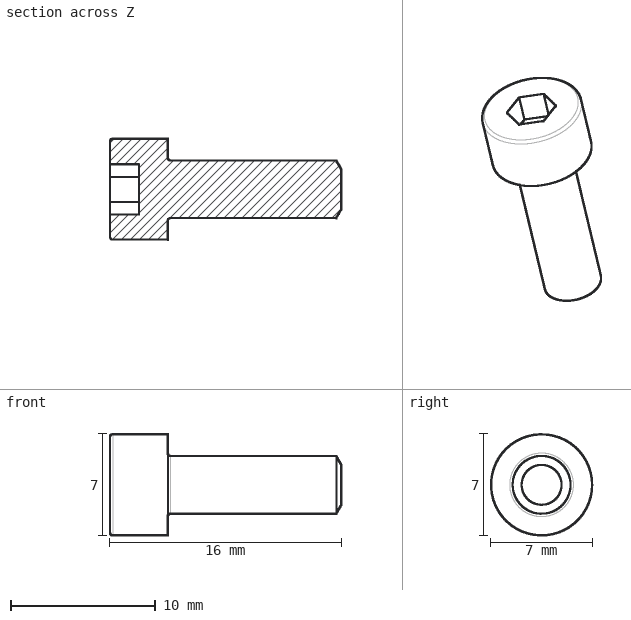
import cadquery as cq
import math

head_diameter = 7.0
head_length = 4.0
head_edge_radius = 0.2

shank_diameter = 4.0
shank_length = 12.0
neck_radius = 0.2

tip_diameter = 2.76
tip_angle = 30.0
tip_inset = (shank_diameter - tip_diameter) / 2
tip_length = tip_inset * math.tan(math.radians(tip_angle))

hex_across_corners = 3.443
hex_depth = 2.0


def make_head():
    head = cq.Workplane("YZ").circle(head_diameter / 2).extrude(head_length)
    return head.faces("<X").edges().fillet(head_edge_radius)


def make_shank():
    shank = (
        cq.Workplane("YZ")
        .workplane(offset=head_length)
        .circle(shank_diameter / 2)
        .extrude(shank_length)
    )
    return shank.faces(">X").edges().chamfer(tip_length, tip_inset)


def make_neck_fillet():
    """Concave ring that blends the shank into the underside of the head."""
    shank_radius = shank_diameter / 2
    arc_center_x = head_length + neck_radius
    arc_center_radius = shank_radius + neck_radius
    arc_reach = neck_radius * math.cos(math.radians(45))
    return (
        cq.Workplane("XY")
        .moveTo(head_length, 0)
        .lineTo(head_length, arc_center_radius)
        .threePointArc(
            (arc_center_x - arc_reach, arc_center_radius - arc_reach),
            (arc_center_x, shank_radius),
        )
        .lineTo(arc_center_x, 0)
        .close()
        .revolve(360, (0, 0, 0), (1, 0, 0))
    )


def make_hex_socket():
    return cq.Workplane("YZ").polygon(6, hex_across_corners).extrude(hex_depth)


result = make_head().union(make_shank()).union(make_neck_fillet()).cut(make_hex_socket())